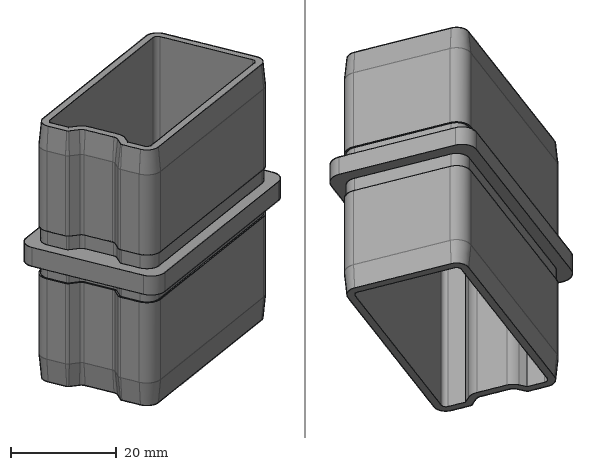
import math

import cadquery as cq

collar_width = 30.0
collar_depth = 50.0
collar_height = 4.0
corner_radius = 2.95

total_height = 54.0
collar_overhang = 2.05
wall = 2.0
neck_height = 3.0
neck_inset = 0.3
tip_height = 5.0
tip_inset = 0.5

groove_depth = 2.05
groove_flank_angle = 45
groove_floor_half_width = 3.5
groove_radius = 0.95

sleeve_width = collar_width - 2 * collar_overhang
sleeve_depth = collar_depth - 2 * collar_overhang
groove_mouth_half_width = groove_floor_half_width + groove_depth / math.tan(math.radians(groove_flank_angle))
neck_top = collar_height / 2 + neck_height
tip_base = total_height / 2 - tip_height
taper_angle = math.degrees(math.atan2(tip_inset, tip_height))


def sleeve_outline(z):
    """Rounded rectangle with the groove in its -Y side, as a closed wire at height z."""
    right = sleeve_width / 2
    back = sleeve_depth / 2
    front = -back
    groove_floor = front + groove_depth
    flank = math.radians(groove_flank_angle)
    tangent = groove_radius * math.tan(flank / 2)
    tangent_x = tangent * math.cos(flank)
    tangent_y = tangent * math.sin(flank)
    bend_sag = groove_radius * (1 - math.cos(flank / 2))
    bend_reach = groove_radius * math.sin(flank / 2)
    mouth_x = groove_mouth_half_width
    floor_x = groove_floor_half_width
    mouth_centre_x = mouth_x + tangent
    floor_centre_x = floor_x - tangent
    corner_sag = corner_radius * (1 - math.sqrt(0.5))

    half = (
        cq.Workplane("XY", origin=(0, 0, z))
        .moveTo(0, groove_floor)
        .lineTo(floor_centre_x, groove_floor)
        .threePointArc(
            (floor_centre_x + bend_reach, groove_floor - bend_sag),
            (floor_x + tangent_x, groove_floor - tangent_y),
        )
        .lineTo(mouth_x - tangent_x, front + tangent_y)
        .threePointArc((mouth_centre_x - bend_reach, front + bend_sag), (mouth_centre_x, front))
        .lineTo(right - corner_radius, front)
        .threePointArc((right - corner_sag, front + corner_sag), (right, front + corner_radius))
        .lineTo(right, back - corner_radius)
        .threePointArc((right - corner_sag, back - corner_sag), (right - corner_radius, back))
        .lineTo(0, back)
    )
    return half.mirrorY()


def upper_sleeve():
    """Solid upper half of the sleeve: neck, straight body and tapered tip."""
    neck = sleeve_outline(0).offset2D(-neck_inset).extrude(neck_top)
    body = sleeve_outline(neck_top).extrude(tip_base - neck_top)
    tip = sleeve_outline(tip_base).extrude(tip_height, taper=taper_angle)
    return neck.union(body).union(tip)


def collar():
    plate = cq.Workplane("XY").box(collar_width, collar_depth, collar_height)
    return plate.edges("|Z").fillet(corner_radius)


def cavity():
    """Straight opening that follows the sleeve outline through the full height."""
    return sleeve_outline(-total_height / 2).offset2D(-wall).extrude(total_height)


upper = upper_sleeve()
lower = upper.mirror("XY")
result = upper.union(lower).union(collar()).cut(cavity())